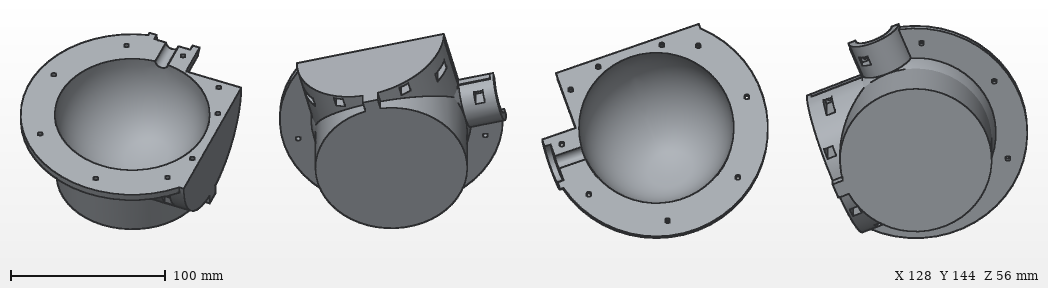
import cadquery as cq
import math

flange_radius = 72.0
flange_thickness = 5.0
height = 56.0
bowl_radius = 50.0
shell_radius = 52.0
body_radius = 49.0
side_face_x = 56.0

neck_radius = math.sqrt(shell_radius**2 - body_radius**2)
neck_end_y = flange_radius

foot_width = 10.0

bore_radius = 4.3
seat_radius = 12.5
seat_depth = 4.0

hole_diameter = 3.2
bolt_circle_radius = 61.9
bolt_circle_divisions = 7
flange_hole_count = 4
neck_hole_x = 10.4
corner_hole = (42.5, 43.6)
side_hole = (50.8, 21.7)
nut_width = 6.0

bolt_step = 360.0 / bolt_circle_divisions
bolt_angles = [math.radians(270.0 - i * bolt_step) for i in range(flange_hole_count)]
flange_holes = [
    (bolt_circle_radius * math.cos(angle), bolt_circle_radius * math.sin(angle))
    for angle in bolt_angles
]
neck_hole_y = math.sqrt(bolt_circle_radius**2 - neck_hole_x**2)
nut_holes = [(neck_hole_x, neck_hole_y)]
for hole_x, hole_y in (corner_hole, side_hole):
    nut_holes += [(hole_x, hole_y), (hole_x, -hole_y)]


def barrel_along_x(radius, length):
    return cq.Workplane("YZ").circle(radius).extrude(length)


def barrel_along_y(radius, start, end):
    return cq.Workplane("XZ", origin=(0, start, 0)).circle(radius).extrude(start - end)


def make_flange():
    disc = cq.Workplane("XY").circle(flange_radius).extrude(-flange_thickness)
    open_corner = (
        cq.Workplane("XY")
        .moveTo(neck_radius, body_radius)
        .rect(flange_radius, flange_radius, centered=False)
        .extrude(-flange_thickness)
    )
    return disc.cut(open_corner)


def make_foot():
    foot = cq.Workplane("XY").box(side_face_x, foot_width, height, centered=(False, True, False))
    return foot.translate((0, 0, -height))


def make_body():
    base = cq.Workplane("XY").circle(body_radius).extrude(-height)
    body = base.union(cq.Workplane("XY").sphere(shell_radius))
    body = body.union(barrel_along_x(body_radius, side_face_x))
    body = body.union(barrel_along_y(neck_radius, 0, neck_end_y))
    body = body.union(make_foot()).union(make_flange())
    envelope = cq.Workplane("XY").box(
        flange_radius + side_face_x, 2 * flange_radius, height, centered=(False, True, False)
    )
    return body.intersect(envelope.translate((-flange_radius, 0, -height)))


def cut_bowl_and_bore(body):
    body = body.cut(cq.Workplane("XY").sphere(bowl_radius))
    body = body.cut(barrel_along_y(bore_radius, 0, neck_end_y))
    return body.cut(barrel_along_y(seat_radius, neck_end_y - seat_depth, neck_end_y))


def cut_screw_holes(body):
    holes = (
        cq.Workplane("XY")
        .pushPoints(flange_holes + nut_holes)
        .circle(hole_diameter / 2)
        .extrude(-height)
    )
    pockets = (
        cq.Workplane("XY", origin=(0, 0, -flange_thickness))
        .pushPoints(nut_holes)
        .rect(nut_width, nut_width)
        .extrude(flange_thickness - height)
    )
    return body.cut(holes).cut(pockets)


result = cut_screw_holes(cut_bowl_and_bore(make_body()))